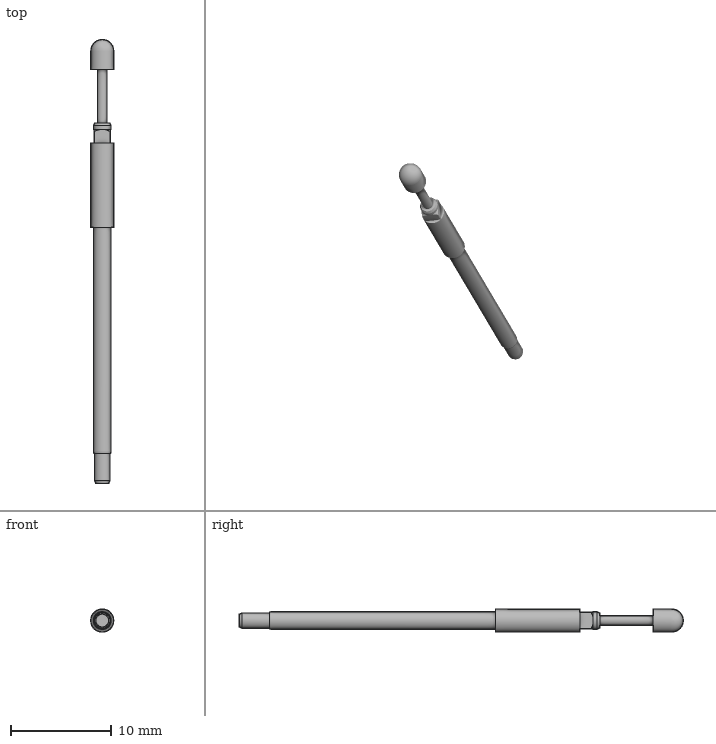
import cadquery as cq
import math

total_length = 44.3

head_radius = 1.15
head_length = 3.0
stem_radius = 0.5

sleeve_radius = 0.9
sleeve_front = total_length - 8.35
sleeve_rear = 3.0
sleeve_front_chamfer_length = 0.25
sleeve_front_chamfer_depth = 0.15
sleeve_rear_chamfer_length = 0.18
sleeve_rear_chamfer_depth = 0.05

barrel_radius = head_radius
barrel_rear = total_length - 18.75
square_front = total_length - 9.0
square_length = 1.35
square_width = 1.7
square_lead_in = 0.18

tail_diameter = 1.55
tail_radius = tail_diameter / 2
tail_chamfer_length = 0.3
tail_chamfer_depth = 0.15


def turned_probe():
    """Revolve the half profile, sketched as (radius, Y), around the Y axis."""
    head_rear = total_length - head_length
    dome_base = total_length - head_radius
    dome_mid = head_radius * math.sqrt(0.5)
    return (
        cq.Workplane("XY")
        .moveTo(0, 0)
        .lineTo(tail_radius - tail_chamfer_depth, 0)
        .lineTo(tail_radius, tail_chamfer_length)
        .lineTo(tail_radius, sleeve_rear)
        .lineTo(sleeve_radius - sleeve_rear_chamfer_depth, sleeve_rear)
        .lineTo(sleeve_radius, sleeve_rear + sleeve_rear_chamfer_length)
        .lineTo(sleeve_radius, barrel_rear)
        .lineTo(barrel_radius, barrel_rear)
        .lineTo(barrel_radius, square_front - square_lead_in)
        .lineTo(sleeve_radius, square_front)
        .lineTo(sleeve_radius, sleeve_front - sleeve_front_chamfer_length)
        .lineTo(sleeve_radius - sleeve_front_chamfer_depth, sleeve_front)
        .lineTo(stem_radius, sleeve_front)
        .lineTo(stem_radius, head_rear)
        .lineTo(head_radius, head_rear)
        .lineTo(head_radius, dome_base)
        .threePointArc((dome_mid, dome_base + dome_mid), (0, total_length))
        .close()
        .revolve(360, (0, 0, 0), (0, 1, 0))
    )


def square_flat_cutter():
    """Material outside the square section at the front of the barrel."""
    block_width = 3 * barrel_radius
    center = (0, square_front - square_length / 2, 0)
    block = cq.Workplane("XY").box(block_width, square_length, block_width)
    square = cq.Workplane("XY").box(square_width, square_length, square_width)
    return block.cut(square).translate(center)


result = turned_probe().cut(square_flat_cutter())